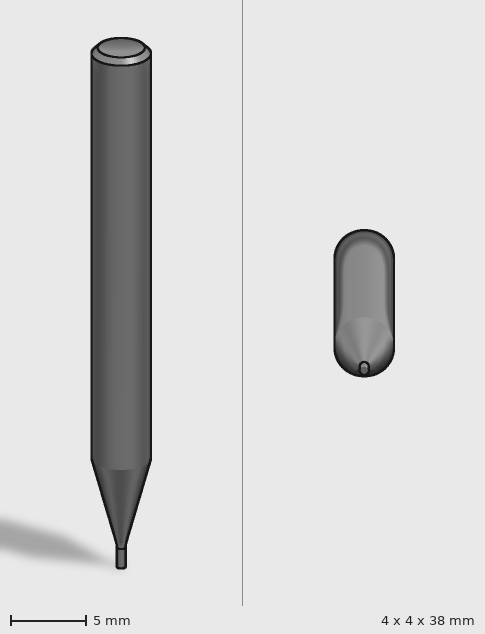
import cadquery as cq
import math

total_length = 38.0
shank_diameter = 4.0
cutter_diameter = 0.6

cutter_length = 1.45
neck_length = 0.45

cone_half_angle = math.radians(15)
end_chamfer = 0.4
tip_corner_radius = 0.05

shank_radius = shank_diameter / 2
cutter_radius = cutter_diameter / 2
neck_top = cutter_length + neck_length
neck_arc_radius = neck_length / math.sin(cone_half_angle)
neck_top_radius = cutter_radius + neck_length * math.tan(cone_half_angle / 2)
cone_top = neck_top + (shank_radius - neck_top_radius) / math.tan(cone_half_angle)


def make_shank():
    """Turned holder: curved neck, cone and chamfered cylinder, as one revolved half profile."""
    profile = (
        cq.Workplane("XZ")
        .moveTo(0, cutter_length)
        .lineTo(cutter_radius, cutter_length)
        .radiusArc((neck_top_radius, neck_top), neck_arc_radius)
        .lineTo(shank_radius, cone_top)
        .lineTo(shank_radius, total_length - end_chamfer)
        .lineTo(shank_radius - end_chamfer, total_length)
        .lineTo(0, total_length)
        .close()
    )
    return profile.revolve(360, (0, 0, 0), (0, 1, 0))


def make_cutter():
    """Cylindrical cutting head with a rounded corner at the tip."""
    cylinder = cq.Workplane("XY").circle(cutter_radius).extrude(cutter_length)
    return cylinder.faces("<Z").edges().fillet(tip_corner_radius)


shank = make_shank()
cutter = make_cutter()

result = cq.Compound.makeCompound([shank.val(), cutter.val()])